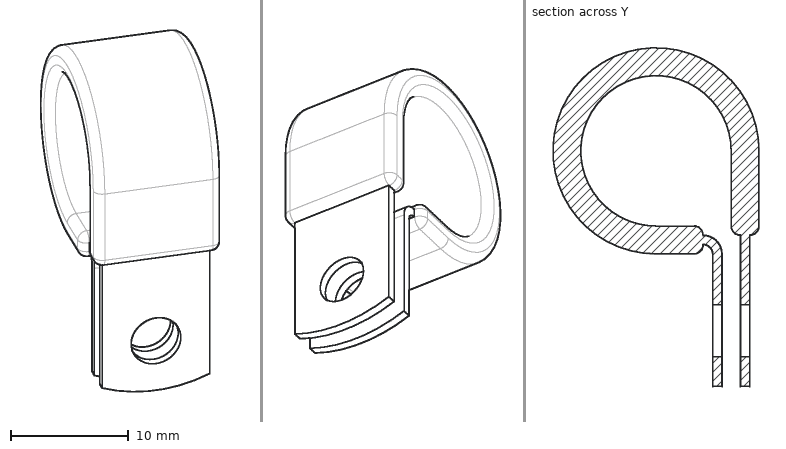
import cadquery as cq
import math


outer_radius = 8.75
cushion_thickness = 2.4
cushion_width = 11.11
cushion_edge_radius = 0.79
lower_leg_length = 4.0
side_leg_length = 7.15

strap_thickness = 0.8
strap_width = 9.5
tab_bottom_z = -20.0
bend_inner_radius = 0.8
tab_end_sagitta = 0.92

hole_diameter = 4.37
hole_z = -15.23

cos_45 = math.sqrt(0.5)
bore_radius = outer_radius - cushion_thickness
mid_radius = outer_radius - cushion_thickness / 2
strap_inner_radius = mid_radius - strap_thickness / 2
strap_outer_radius = mid_radius + strap_thickness / 2
bend_outer_radius = bend_inner_radius + strap_thickness
bend_center_x = lower_leg_length
bent_tab_inner_x = bend_center_x + bend_inner_radius
bent_tab_outer_x = bend_center_x + bend_outer_radius
bend_center_z = -strap_outer_radius - bend_inner_radius


def extrude_along_y(profile, width):
    """Extrude an XZ profile symmetrically about the Y = 0 plane."""
    return profile.extrude(width / 2, both=True)


def upper_left_point(radius):
    """Midpoint of the 270 degree loop arc."""
    return (-radius * cos_45, radius * cos_45)


def at_leg_tip(center):
    """Selector for the two edges along Y that bound a leg's end face."""
    x, y, z = center
    reach = cushion_thickness
    low = (x - reach, y - reach, z - reach)
    high = (x + reach, y + reach, z + reach)
    return cq.selectors.BoxSelector(low, high)


def make_cushion():
    """Loop with two straight legs, rounded on every long edge and at both leg ends."""
    profile = (
        cq.Workplane("XZ")
        .moveTo(outer_radius, -side_leg_length)
        .lineTo(outer_radius, 0)
        .threePointArc(upper_left_point(outer_radius), (0, -outer_radius))
        .lineTo(lower_leg_length, -outer_radius)
        .lineTo(lower_leg_length, -bore_radius)
        .lineTo(0, -bore_radius)
        .threePointArc(upper_left_point(bore_radius), (bore_radius, 0))
        .lineTo(bore_radius, -side_leg_length)
        .close()
    )
    body = extrude_along_y(profile, cushion_width)
    long_edges = body.faces("<Y or >Y").edges()
    lower_leg_tip = body.edges(at_leg_tip((lower_leg_length, 0, -mid_radius)))
    side_leg_tip = body.edges(at_leg_tip((mid_radius, 0, -side_leg_length)))
    return long_edges.add(lower_leg_tip).add(side_leg_tip).fillet(cushion_edge_radius)


def make_straight_tab():
    """Flat tab that continues the side leg straight down."""
    profile = (
        cq.Workplane("XZ")
        .moveTo(strap_inner_radius, tab_bottom_z)
        .lineTo(strap_outer_radius, tab_bottom_z)
        .lineTo(strap_outer_radius, 0)
        .lineTo(strap_inner_radius, 0)
        .close()
    )
    return extrude_along_y(profile, strap_width)


def make_bent_tab():
    """Tab that leaves the lower leg along +X and bends down."""
    profile = (
        cq.Workplane("XZ")
        .moveTo(0, -strap_inner_radius)
        .lineTo(bend_center_x, -strap_inner_radius)
        .threePointArc(
            (bend_center_x + bend_outer_radius * cos_45, bend_center_z + bend_outer_radius * cos_45),
            (bent_tab_outer_x, bend_center_z),
        )
        .lineTo(bent_tab_outer_x, tab_bottom_z)
        .lineTo(bent_tab_inner_x, tab_bottom_z)
        .lineTo(bent_tab_inner_x, bend_center_z)
        .threePointArc(
            (bend_center_x + bend_inner_radius * cos_45, bend_center_z + bend_inner_radius * cos_45),
            (bend_center_x, -strap_outer_radius),
        )
        .lineTo(0, -strap_outer_radius)
        .close()
    )
    return extrude_along_y(profile, strap_width)


def make_tab_outline():
    """Tab silhouette in the YZ plane: round lower end, bolt hole, open to the top."""
    half_width = strap_width / 2
    corner_z = tab_bottom_z + tab_end_sagitta
    return (
        cq.Workplane("YZ")
        .moveTo(-half_width, 0)
        .lineTo(-half_width, corner_z)
        .threePointArc((0, tab_bottom_z), (half_width, corner_z))
        .lineTo(half_width, 0)
        .close()
        .moveTo(0, hole_z)
        .circle(hole_diameter / 2)
        .extrude(outer_radius)
    )


tabs = make_straight_tab().union(make_bent_tab()).intersect(make_tab_outline())
result = make_cushion().union(tabs)